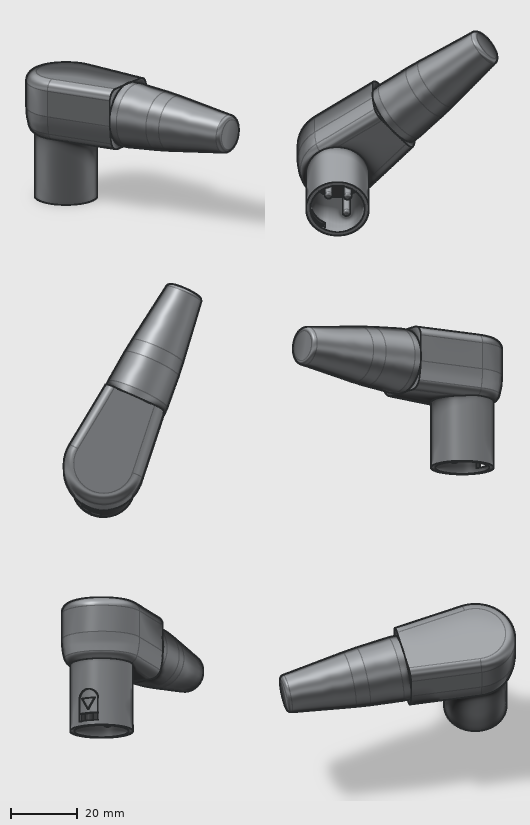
import cadquery as cq
import math


total_length = 71.3
total_height = 39.2

head_radius = 12.0
body_taper = 6.3
body_end_x = 22.45
body_half_height = 9.55
top_fillet = 3.0
belly_start_z = 28.0
belly_radius = 20.3
bottom_fillet = 3.4

collar_radius = 9.8
collar_length = 2.35
grip_length = 10.1
grip_end_radius = 8.9
neck_length = 4.3
neck_end_radius = 8.4
tip_radius = 5.6
tip_fillet = 1.3

plug_radius = 9.4
plug_wall = 1.3

window_width = 6.2
window_bottom = 1.4
window_top = 3.85
recess_top = 11.1
recess_depth = 0.35
arrow_top = 8.35
arrow_tip = 4.85
arrow_width = 4.2

pin_diameter = 2.35
pin_tip_z = 2.15
pin_tip_fillet = 0.9
pin_circle_radius = 4.05
pin_angles = (-90, 0, 90)

sleeve_z = total_height - collar_radius
body_top = sleeve_z + body_half_height
body_bottom = sleeve_z - body_half_height
sleeve_end_x = total_length - head_radius
bore_radius = plug_radius - plug_wall


def on_arc(center, radius, degrees):
    """Point on a circle; degrees are measured from the outward direction."""
    angle = math.radians(degrees)
    return (center[0] + radius * math.cos(angle), center[1] + radius * math.sin(angle))


def body_profile(plane):
    """Half section of the body from its middle out to the rounded flank."""
    belly_center = (head_radius - belly_radius, belly_start_z)
    fillet_center_z = body_bottom + bottom_fillet
    drop = belly_start_z - fillet_center_z
    belly_sweep = math.degrees(math.asin(drop / (belly_radius - bottom_fillet)))
    belly_middle = on_arc(belly_center, belly_radius, -belly_sweep / 2)
    belly_end = on_arc(belly_center, belly_radius, -belly_sweep)
    fillet_center = on_arc(belly_center, belly_radius - bottom_fillet, -belly_sweep)
    fillet_middle = on_arc(fillet_center, bottom_fillet, -(90 + belly_sweep) / 2)

    top_center = (head_radius - top_fillet, body_top - top_fillet)
    return (
        cq.Workplane(plane)
        .moveTo(0, body_top)
        .lineTo(top_center[0], body_top)
        .threePointArc(on_arc(top_center, top_fillet, 45), (head_radius, top_center[1]))
        .lineTo(head_radius, belly_start_z)
        .threePointArc(belly_middle, belly_end)
        .threePointArc(fillet_middle, (fillet_center[0], body_bottom))
        .lineTo(0, body_bottom)
        .close()
    )


def make_body():
    head = body_profile("XZ").revolve(360, (0, 0, 0), (0, 1, 0))
    flank_length = 2 * body_end_x
    flank = body_profile("YZ").extrude(flank_length).rotate((0, 0, 0), (0, 0, 1), -body_taper)
    body = head.union(flank).union(flank.mirror("XZ"))
    trim_size = 2 * total_length
    beyond_end = (
        cq.Workplane("YZ", origin=(body_end_x, 0, 0))
        .rect(trim_size, trim_size)
        .extrude(total_length)
    )
    return body.cut(beyond_end)


def make_sleeve():
    collar_end_x = body_end_x + collar_length
    grip_end_x = collar_end_x + grip_length
    neck_end_x = grip_end_x + neck_length
    return (
        cq.Workplane("XZ", origin=(0, 0, sleeve_z))
        .moveTo(body_end_x, 0)
        .lineTo(body_end_x, collar_radius)
        .lineTo(collar_end_x, collar_radius)
        .lineTo(grip_end_x, grip_end_radius)
        .lineTo(neck_end_x, neck_end_radius)
        .lineTo(sleeve_end_x, tip_radius)
        .lineTo(sleeve_end_x, 0)
        .close()
        .revolve(360, (0, 0, 0), (1, 0, 0))
        .faces(">X")
        .edges()
        .fillet(tip_fillet)
    )


def window_side_plane():
    """Sketch plane through the plug axis with local X along Y and its normal towards -X."""
    return cq.Workplane(cq.Plane(origin=(0, 0, 0), xDir=(0, -1, 0), normal=(-1, 0, 0)))


def make_plug():
    core = cq.Workplane("XY").circle(plug_radius).extrude(sleeve_z)
    bore = cq.Workplane("XY").circle(bore_radius).extrude(body_bottom)
    return core.cut(bore)


def make_arched_recess():
    """Shallow arched skin around the arrow, which keeps the full plug radius."""
    arch_center_z = recess_top - window_width / 2
    arch = (
        window_side_plane()
        .moveTo(-window_width / 2, window_bottom)
        .lineTo(window_width / 2, window_bottom)
        .lineTo(window_width / 2, arch_center_z)
        .threePointArc((0, recess_top), (-window_width / 2, arch_center_z))
        .close()
        .extrude(plug_radius)
    )
    arrow = (
        window_side_plane()
        .moveTo(0, arrow_tip)
        .lineTo(arrow_width / 2, arrow_top)
        .lineTo(-arrow_width / 2, arrow_top)
        .close()
        .extrude(plug_radius)
    )
    skin = (
        cq.Workplane("XY")
        .circle(plug_radius)
        .circle(plug_radius - recess_depth)
        .extrude(body_bottom)
    )
    return skin.intersect(arch.cut(arrow))


def make_window():
    return (
        window_side_plane()
        .moveTo(0, (window_bottom + window_top) / 2)
        .rect(window_width, window_top - window_bottom)
        .extrude(plug_radius)
    )


def make_pins():
    pin = (
        cq.Workplane("XY", origin=(pin_circle_radius, 0, pin_tip_z))
        .circle(pin_diameter / 2)
        .extrude(sleeve_z - pin_tip_z)
        .faces("<Z")
        .edges()
        .fillet(pin_tip_fillet)
    )
    pins = cq.Workplane("XY")
    for angle in pin_angles:
        pins = pins.add(pin.rotate((0, 0, 0), (0, 0, 1), angle))
    return pins.combine()


plug = make_plug().cut(make_arched_recess()).cut(make_window())
result = plug.union(make_body()).union(make_sleeve()).union(make_pins())